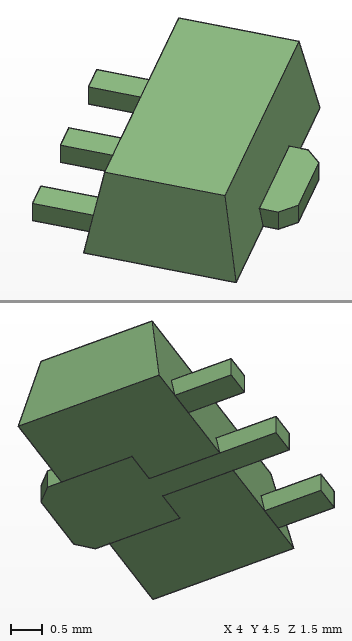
import cadquery as cq
import math

housing_length = 4.5
housing_width = 2.5
housing_height = 1.5
draft_angle = 10.0

lead_reach = 1.0
lead_width = 0.45
lead_thickness = 0.35
lead_pitch = 1.5

tab_reach = 0.5
tab_width = 1.6
tab_chamfer = 0.25

lead_tip_x = -housing_width / 2 - lead_reach
tab_tip_x = housing_width / 2 + tab_reach
wall_inset = housing_height * math.tan(math.radians(draft_angle))


def make_housing_block():
    """Drafted housing before the slot for the middle lead is cut."""
    return (
        cq.Workplane("XY")
        .rect(housing_width, housing_length)
        .workplane(offset=housing_height)
        .rect(housing_width - 2 * wall_inset, housing_length - 2 * wall_inset)
        .loft(ruled=True)
    )


def make_lead_bar(y):
    """Straight bar from the lead tip to the middle of the housing."""
    return (
        cq.Workplane("XY")
        .box(-lead_tip_x, lead_width, lead_thickness, centered=(False, True, False))
        .translate((lead_tip_x, y, 0))
    )


def make_outer_lead(y, housing_block):
    """Outer lead that ends flush against the sloping housing wall."""
    return make_lead_bar(y).cut(housing_block)


def make_tab_lead():
    """Middle lead that runs through the housing and widens into the tab."""
    tab = (
        cq.Workplane("XY")
        .box(tab_tip_x, tab_width, lead_thickness, centered=(False, True, False))
        .edges("|Z and >X")
        .chamfer(tab_chamfer)
    )
    return make_lead_bar(0).union(tab)


housing_block = make_housing_block()
tab_lead = make_tab_lead()
housing = housing_block.cut(tab_lead)
outer_leads = [make_outer_lead(side * lead_pitch, housing_block) for side in (-1, 1)]

result = cq.Compound.makeCompound(
    [housing.val(), tab_lead.val(), *[lead.val() for lead in outer_leads]]
)